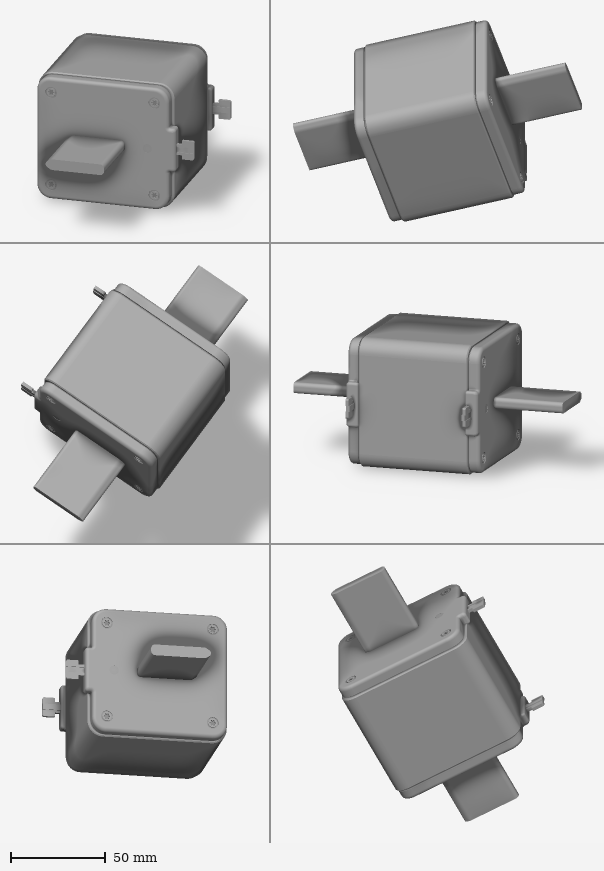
import cadquery as cq
import math


TOTAL_LENGTH = 150.0
BODY_WIDTH = 75.0
BODY_HEIGHT = 70.0
BODY_LENGTH = 60.6
BODY_CORNER = 8.2
BODY_CHAMFER = 0.6

CAP_INSET = 0.9
CAP_RIGHT_INSET = 1.4
CAP_CORNER = 7.6
CAP_OUTER_Y = 36.8
CAP_INNER_Y = 31.0
CAP_THICKNESS = CAP_OUTER_Y - CAP_INNER_Y
CAP_ROUND = 2.0
NECK_INSET = 2.2

HOOK_REACH = 39.9
HOOK_HALF_HEIGHT = 12.2
HOOK_INNER_Y = 29.8
HOOK_THICKNESS = 2.0
HOOK_CORNER = 1.5
HOOK_ROOT_ROUND = 0.8
HOOK_END_ROUND = 1.0

TAB_TIP_FRONT = 49.4
TAB_TIP_BACK = 49.8
TAB_Y = 32.7
TAB_THICKNESS = 1.8
TAB_HEAD_LENGTH = 6.6
TAB_HEAD_HEIGHT = 10.5
TAB_STEM_HEIGHT = 6.0
TAB_TIP_ROUND = 0.9
TAB_RIB_HEIGHT = 3.2
TAB_RIB_DEPTH = 0.5

BLADE_LEFT = -20.0
BLADE_RIGHT = 12.3
BLADE_THICKNESS = 6.0
BEVEL_LENGTH = 3.0
BEVEL_DROP = 2.0
BEVEL_TOP_ROUND = 3.2
BEVEL_NOSE_ROUND = 1.8
BLADE_RIGHT_ROUND = 2.2

SCREW_X = 28.5
SCREW_Z = 26.0
SCREW_HOLE_RADIUS = 3.2
SCREW_HEAD_RADIUS = 2.4
SCREW_GAP_DEPTH = 0.6
SOCKET_DEPTH = 1.2
SOCKET_CORE_RADIUS = 1.12
LOBE_COUNT = 6
LOBE_RADIUS = 0.5
LOBE_CIRCLE_RADIUS = 1.28
PIN_X = 24.6
PIN_DIAMETER = 5.0
PIN_RECESS = 0.2

EDGE_REACH = 0.2


def rounded_slab(x_left, x_right, height, y_start, y_end, corner):
    """Block across the part between two Y positions, with its edges along Y rounded."""
    block = cq.Workplane("XY").box(x_right - x_left, y_end - y_start, height)
    block = block.edges("|Y").fillet(corner)
    return block.translate(((x_left + x_right) / 2, (y_start + y_end) / 2, 0))


def bar(x_start, x_end, height, y_start, y_end):
    """Plain block between two X and two Y positions, centred on Z = 0."""
    block = cq.Workplane("XY").box(
        x_end - x_start, y_end - y_start, height, centered=(False, False, True)
    )
    return block.translate((x_start, y_start, 0))


def near_x(x):
    """Selector for the front-end edges along Y at the given X."""
    return cq.selectors.BoxSelector(
        (x - EDGE_REACH, -TOTAL_LENGTH, -BODY_HEIGHT), (x + EDGE_REACH, 0, BODY_HEIGHT)
    )


def make_body():
    half_width = BODY_WIDTH / 2
    half_length = BODY_LENGTH / 2
    body = rounded_slab(
        -half_width, half_width, BODY_HEIGHT, -half_length, half_length, BODY_CORNER
    )
    return body.faces("<Y or >Y").chamfer(BODY_CHAMFER)


def make_neck():
    """Core that joins the body to both caps across the gaps between them."""
    half_width = BODY_WIDTH / 2 - NECK_INSET
    height = BODY_HEIGHT - 2 * NECK_INSET
    corner = BODY_CORNER - NECK_INSET
    return rounded_slab(-half_width, half_width, height, -CAP_INNER_Y, CAP_INNER_Y, corner)


def make_cap():
    """Front cap with its hook plate, which reaches back over the side of the body."""
    cap_right = BODY_WIDTH / 2 - CAP_RIGHT_INSET
    cap = rounded_slab(
        CAP_INSET - BODY_WIDTH / 2,
        cap_right,
        BODY_HEIGHT - 2 * CAP_INSET,
        -CAP_OUTER_Y,
        -CAP_INNER_Y,
        CAP_CORNER,
    )
    hook_height = 2 * HOOK_HALF_HEIGHT
    hook_inner_x = HOOK_REACH - HOOK_THICKNESS
    hook = bar(0, HOOK_REACH, hook_height, -CAP_OUTER_Y, -HOOK_INNER_Y)
    hook = hook.cut(bar(0, hook_inner_x, hook_height, -CAP_INNER_Y, -HOOK_INNER_Y))
    hook = hook.edges("|Y and >X").fillet(HOOK_CORNER)
    cap = cap.union(hook)
    cap = cap.edges("|Y").edges(near_x(cap_right)).fillet(HOOK_ROOT_ROUND)
    cap = cap.faces("<Y").edges().fillet(CAP_ROUND)
    return cap.faces(">Y").edges(">X").fillet(HOOK_END_ROUND)


def make_tab(tip_x):
    """Stepped front tab with a rib pressed through it toward the body."""
    head_x = tip_x - TAB_HEAD_LENGTH
    root_x = HOOK_REACH - HOOK_THICKNESS
    outer_y = -TAB_Y - TAB_THICKNESS / 2
    inner_y = outer_y + TAB_THICKNESS
    head = bar(head_x, tip_x, TAB_HEAD_HEIGHT, outer_y, inner_y)
    head = head.edges("|Y and >X").fillet(TAB_TIP_ROUND)
    tab = head.union(bar(root_x, tip_x, TAB_STEM_HEIGHT, outer_y, inner_y))
    groove = bar(HOOK_REACH, tip_x, TAB_RIB_HEIGHT, outer_y, outer_y + TAB_RIB_DEPTH)
    rib = bar(root_x, tip_x, TAB_RIB_HEIGHT, inner_y, inner_y + TAB_RIB_DEPTH)
    return tab.cut(groove).union(rib)


def make_blade():
    """Front blade: bevelled and rounded on its -X side, rounded on its +X side."""
    length = TOTAL_LENGTH / 2 - CAP_INNER_Y
    half = BLADE_THICKNESS / 2
    nose_half = half - BEVEL_DROP
    bevel_x = BLADE_LEFT + BEVEL_LENGTH
    outline = [
        (BLADE_LEFT, nose_half),
        (bevel_x, half),
        (BLADE_RIGHT, half),
        (BLADE_RIGHT, -half),
        (bevel_x, -half),
        (BLADE_LEFT, -nose_half),
    ]
    blade_root = cq.Workplane("XZ", origin=(0, -CAP_INNER_Y, 0))
    blade = blade_root.polyline(outline).close().extrude(length)
    blade = blade.edges("|Y and >X").fillet(BLADE_RIGHT_ROUND)
    blade = blade.edges("|Y").edges(near_x(bevel_x)).fillet(BEVEL_TOP_ROUND)
    return blade.edges("|Y and <X").fillet(BEVEL_NOSE_ROUND)


def cylinder(x, z, radius, depth):
    """Cylinder running from the outer face of the front cap into the cap."""
    return cq.Workplane("XZ", origin=(x, -CAP_OUTER_Y, z)).circle(radius).extrude(-depth)


def cut_screws(cap):
    """Clearance ring and six-lobe socket of each of the four cap screws."""
    for x in (-SCREW_X, SCREW_X):
        for z in (-SCREW_Z, SCREW_Z):
            ring = cylinder(x, z, SCREW_HOLE_RADIUS, SCREW_GAP_DEPTH)
            ring = ring.cut(cylinder(x, z, SCREW_HEAD_RADIUS, SCREW_GAP_DEPTH))
            socket = cylinder(x, z, SOCKET_CORE_RADIUS, SOCKET_DEPTH)
            for i in range(LOBE_COUNT):
                angle = 2 * math.pi * i / LOBE_COUNT
                lobe_x = x + LOBE_CIRCLE_RADIUS * math.cos(angle)
                lobe_z = z + LOBE_CIRCLE_RADIUS * math.sin(angle)
                socket = socket.union(cylinder(lobe_x, lobe_z, LOBE_RADIUS, SOCKET_DEPTH))
            cap = cap.cut(ring).cut(socket)
    return cap


def make_end(tab_tip_x):
    """Everything on the front end: cap, screws, pin recess, tab and blade."""
    cap = cut_screws(make_cap())
    cap = cap.cut(cylinder(PIN_X, 0, PIN_DIAMETER / 2, PIN_RECESS))
    return cap.union(make_tab(tab_tip_x)).union(make_blade())


front_end = make_end(TAB_TIP_FRONT)
back_end = make_end(TAB_TIP_BACK).mirror("XZ")
result = make_body().union(make_neck()).union(front_end).union(back_end)